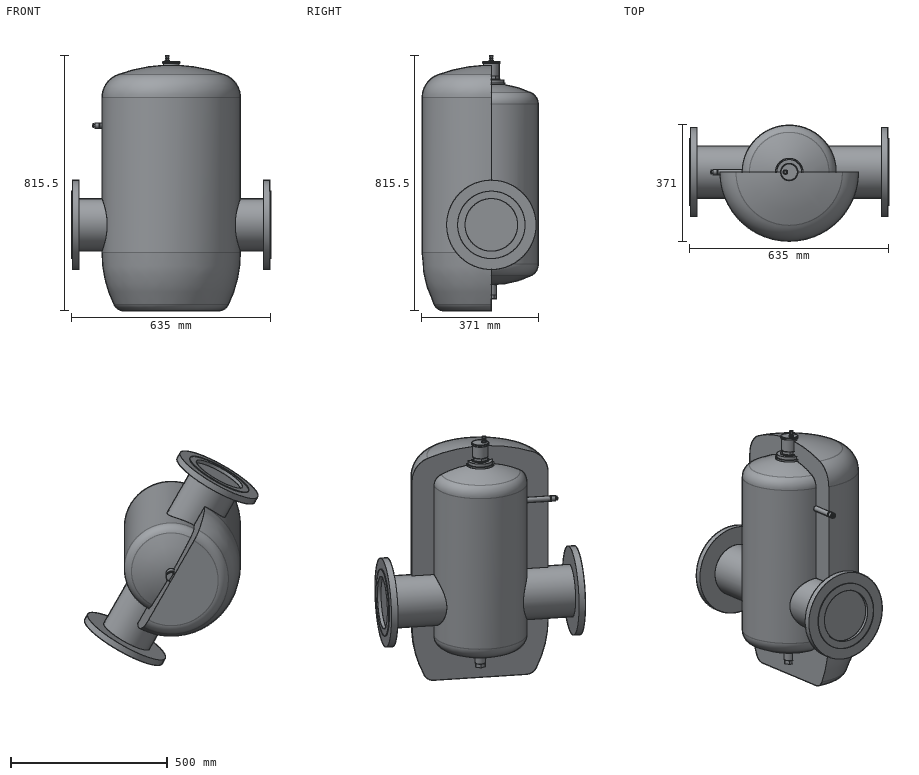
import cadquery as cq
import math


vessel_radius = 150.0
vessel_wall_bottom = 149.0
vessel_wall_top = 660.0
vessel_crown_radius = 293.5
vessel_knuckle_radius = 41.0
boss_radius = 44.0
boss_top = 727.5

nozzle_height = 275.0
nozzle_radius = 84.0
face_to_face = 635.0
flange_face_x = face_to_face / 2
flange_radius = 143.0
flange_thickness = 21.0
raised_face_radius = 108.0
raised_face_height = 2.5
pipe_end_recess = 11.5

jacket_radius = 221.0
jacket_wall_bottom = 186.0
jacket_wall_top = 681.0
jacket_crown_radius = 489.0
jacket_knuckle_radius = 78.0
jacket_taper_radius = 375.0
jacket_base_fillet = 37.0

vent_ring_radius = 40.0
vent_ring_height = 10.0
vent_washer_radius = 28.0
vent_washer_height = 2.5
vent_barrel_radius = 25.0
vent_nut_diameter = 2 * vent_barrel_radius
vent_nut_height = 10.0
cap_radius = 28.0
cap_bottom = 789.0
cap_top = 797.0
cap_chamfer = 2.0
valve_offset_x = -12.0
valve_steps = [(7.0, 799.0), (4.0, 804.0), (6.0, 805.0), (4.0, 810.0), (6.0, 815.5)]

side_height = 591.0
side_steps = [
    (9.0, 227.0),
    (8.0, 230.0),
    (9.0, 244.0),
    (5.0, 249.0),
    (6.5, 249.5),
    (2.5, 252.0),
]

drain_radius = 17.0
drain_hex_top = 50.5
drain_bottom = 38.0


def cylinder(radius, bottom, top):
    """Upright cylinder on the Z axis between two heights."""
    return cq.Workplane("XY").workplane(offset=bottom).circle(radius).extrude(top - bottom)


def stepped_rod(bottom, steps):
    """Upright rod on the Z axis made of (radius, top) steps stacked from the bottom."""
    rod = cq.Workplane("XY")
    for radius, top in steps:
        rod = rod.union(cylinder(radius, bottom, top))
        bottom = top
    return rod


def hexagon(diameter, bottom, top):
    """Upright hexagonal prism with two corners on the Y axis."""
    prism = cq.Workplane("XY").workplane(offset=bottom).polygon(6, diameter).extrude(top - bottom)
    return prism.rotate((0, 0, 0), (0, 0, 1), 90)


def dished_head(wall_radius, crown_radius, knuckle_radius):
    """Points of a dished head above its wall: knuckle middle, tangent point, crown middle, apex."""
    offset = wall_radius - knuckle_radius
    reach = crown_radius - knuckle_radius
    angle = math.asin(offset / reach)
    crown_center = -reach * math.cos(angle)
    middle = (math.pi / 2 - angle) / 2
    knuckle_middle = (
        offset + knuckle_radius * math.cos(middle),
        knuckle_radius * math.sin(middle),
    )
    tangent = (crown_radius * math.sin(angle), crown_center + crown_radius * math.cos(angle))
    crown_middle = (
        crown_radius * math.sin(angle / 2),
        crown_center + crown_radius * math.cos(angle / 2),
    )
    apex = (0, crown_center + crown_radius)
    return knuckle_middle, tangent, crown_middle, apex


def make_vessel():
    head = dished_head(vessel_radius, vessel_crown_radius, vessel_knuckle_radius)
    knuckle_top, tangent_top, crown_top, apex_top = [(r, vessel_wall_top + h) for r, h in head]
    knuckle_low, tangent_low, crown_low, apex_low = [(r, vessel_wall_bottom - h) for r, h in head]
    shell = (
        cq.Workplane("XZ")
        .moveTo(*apex_low)
        .threePointArc(crown_low, tangent_low)
        .threePointArc(knuckle_low, (vessel_radius, vessel_wall_bottom))
        .lineTo(vessel_radius, vessel_wall_top)
        .threePointArc(knuckle_top, tangent_top)
        .threePointArc(crown_top, apex_top)
        .close()
        .revolve(360, (0, 0, 0), (0, 1, 0))
    )
    nozzle_end = flange_face_x - pipe_end_recess
    nozzles = (
        cq.Workplane("YZ", origin=(-nozzle_end, 0, nozzle_height))
        .circle(nozzle_radius)
        .extrude(2 * nozzle_end)
    )
    boss = cylinder(boss_radius, vessel_wall_top, boss_top)
    return shell.union(nozzles).union(boss)


def make_flange(side):
    """Flange on the +X (side = 1) or -X (side = -1) nozzle, raised face outwards."""
    back_x = flange_face_x - raised_face_height - flange_thickness
    flange = (
        cq.Workplane("YZ", origin=(back_x, 0, nozzle_height))
        .circle(flange_radius)
        .extrude(flange_thickness)
        .faces(">X")
        .workplane()
        .circle(raised_face_radius)
        .extrude(raised_face_height)
        .faces(">X")
        .workplane()
        .circle(nozzle_radius)
        .cutThruAll()
    )
    return flange if side > 0 else flange.mirror("YZ")


def make_vent():
    ring_top = boss_top + vent_ring_height
    washer_top = ring_top + vent_washer_height
    nut_top = washer_top + vent_nut_height
    base = stepped_rod(boss_top, [(vent_ring_radius, ring_top), (vent_washer_radius, washer_top)])
    nut = hexagon(vent_nut_diameter, washer_top, nut_top)
    barrel = cylinder(vent_barrel_radius, nut_top, cap_bottom)
    cap = cylinder(cap_radius, cap_bottom, cap_top).faces("<Z or >Z").chamfer(cap_chamfer)
    valve = stepped_rod(cap_top, valve_steps).translate((valve_offset_x, 0, 0))
    return base.union(nut).union(barrel).union(cap).union(valve)


def make_side_fitting(vessel):
    """Stepped rod laid along -X and cut off at the vessel wall."""
    rod = stepped_rod(0, side_steps)
    fitting = rod.rotate((0, 0, 0), (0, 1, 0), -90).translate((0, 0, side_height))
    return fitting.cut(vessel)


def make_drain(vessel):
    pipe = cylinder(drain_radius, drain_hex_top, vessel_wall_bottom)
    plug = hexagon(2 * drain_radius, drain_bottom, drain_hex_top)
    return pipe.union(plug).cut(vessel)


def make_jacket(inner_bodies):
    """Half jacket filling the space between its outline and the bodies inside it."""
    head = dished_head(jacket_radius, jacket_crown_radius, jacket_knuckle_radius)
    knuckle, tangent, crown, apex = [(r, jacket_wall_top + h) for r, h in head]

    taper_center = (jacket_radius - jacket_taper_radius, jacket_wall_bottom)
    reach = jacket_taper_radius - jacket_base_fillet
    taper_angle = math.asin((jacket_wall_bottom - jacket_base_fillet) / reach)
    fillet_center = (taper_center[0] + reach * math.cos(taper_angle), jacket_base_fillet)

    def point_below(center, radius, angle):
        return center[0] + radius * math.cos(angle), center[1] - radius * math.sin(angle)

    outline = (
        cq.Workplane("XZ")
        .moveTo(0, 0)
        .lineTo(fillet_center[0], 0)
        .threePointArc(
            point_below(fillet_center, jacket_base_fillet, (taper_angle + math.pi / 2) / 2),
            point_below(taper_center, jacket_taper_radius, taper_angle),
        )
        .threePointArc(
            point_below(taper_center, jacket_taper_radius, taper_angle / 2),
            (jacket_radius, jacket_wall_bottom),
        )
        .lineTo(jacket_radius, jacket_wall_top)
        .threePointArc(knuckle, tangent)
        .threePointArc(crown, apex)
        .close()
    )
    jacket = outline.revolve(180, (0, 0, 0), (0, -1, 0))
    for body in inner_bodies:
        jacket = jacket.cut(body)
    return jacket


vessel = make_vessel()
flanges = [make_flange(side) for side in (-1, 1)]
vent = make_vent()
side_fitting = make_side_fitting(vessel)
drain = make_drain(vessel)
jacket = make_jacket([vessel, vent, side_fitting, drain])

result = cq.Compound.makeCompound(
    [
        vessel.val(),
        *[flange.val() for flange in flanges],
        vent.val(),
        side_fitting.val(),
        drain.val(),
        jacket.val(),
    ]
)